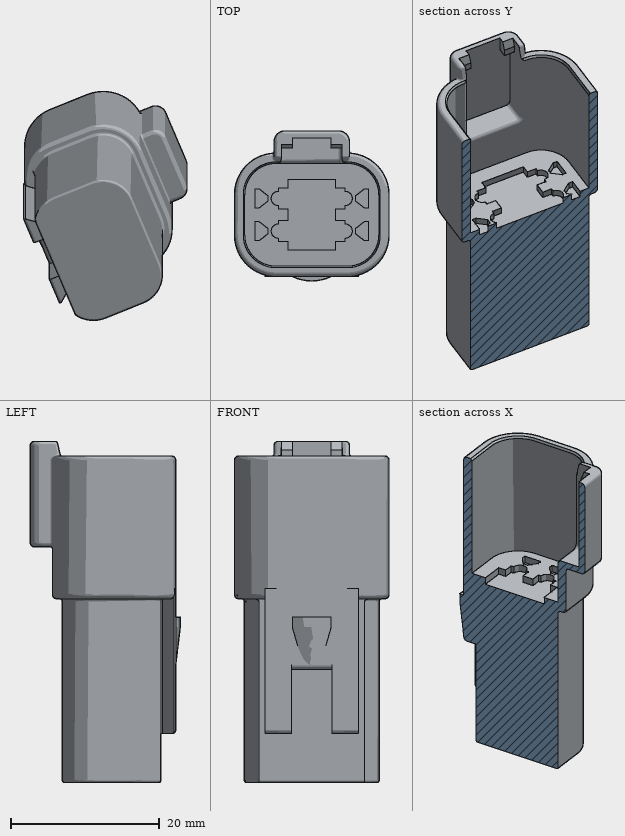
import cadquery as cq
import math

shroud_length_x = 20.83
shroud_width_y = 16.62
shroud_corner_radius = 5.6
shroud_bottom_z = 24.72
shroud_top_z = 43.95
shroud_edge_fillet = 0.6
front_y = -shroud_width_y / 2

body_inset = 1.33
body_front_y = -6.31
body_foot_fillet = 0.3
body_neck_fillet = 0.4

shroud_wall = 1.4
rim_wall = 1.2
rim_lead_in_depth = 0.3
cavity_floor_z = shroud_bottom_z + shroud_wall

recess_depth = 1.0
contact_row_y = 2.2
core_half_x = 3.17
core_half_y = 4.72
arm_reach_x = 4.5
arm_half_y = 1.4
arm_nose_radius = 0.96
wedge_inner_x = 5.86
wedge_shoulder_x = 7.07
wedge_outer_x = 7.66
wedge_inner_half_y = 0.33
wedge_outer_half_y = 1.28

latch_half_x = 5.1
latch_back_y = 11.3
latch_bottom_z = 31.7
latch_top_z = 45.92
latch_corner_radius = 1.5
latch_edge_fillet = 0.6
latch_wall = 1.0
latch_floor_z = 32.7
latch_floor_fillet = 0.6
latch_root_fillet = 0.25
latch_end_top_y = 7.65
latch_end_rim_y = 7.2
latch_end_radius = 0.3
latch_mouth_radius = 0.6
pocket_half_x = latch_half_x - latch_wall
pocket_back_y = latch_back_y - latch_wall

catch_inner_x = 2.57
catch_bottom_z = 43.75
catch_slope_bottom_z = 44.77
catch_front_y = 8.97
catch_top_front_y = 9.45

plate_half_x = 6.3
plate_top_z = 26.1
plate_bottom_z = 6.6
plate_lip = 0.27
plate_root_half_x = 5.1
plate_root_height = 0.22
plate_end_fillet = 0.5
fork_half_x = 2.75
fork_top_z = 15.2
fork_top_fillet = 0.6

ramp_half_x = 2.62
ramp_height = 0.61
ramp_top_z = 22.27
ramp_shoulder_z = 20.93
ramp_tip_z = 15.8


def box_between(x0, x1, y0, y1, z0, z1):
    size = (x1 - x0, y1 - y0, z1 - z0)
    return cq.Workplane("XY").box(*size, centered=False).translate((x0, y0, z0))


def inset_outline(inset, z):
    """Shroud outline moved inwards by `inset`, at height z."""
    outline = cq.Sketch().rect(shroud_length_x - 2 * inset, shroud_width_y - 2 * inset)
    outline = outline.vertices().fillet(shroud_corner_radius - inset)
    return cq.Workplane("XY").workplane(offset=z).placeSketch(outline)


def make_shell():
    """Solid body and shroud with their outer edges rounded and the body front cut flat."""
    shroud = inset_outline(0, shroud_bottom_z).extrude(shroud_top_z - shroud_bottom_z)
    shroud = shroud.faces("<Z or >Z").edges().fillet(shroud_edge_fillet)
    body = inset_outline(body_inset, 0).extrude(shroud_bottom_z)
    shell = shroud.union(body)
    neck = cq.selectors.BoxSelector(
        (-shroud_length_x / 2 + body_inset / 2, front_y + body_inset / 2, shroud_bottom_z - body_neck_fillet),
        (shroud_length_x / 2 - body_inset / 2, -front_y - body_inset / 2, shroud_bottom_z + body_neck_fillet),
        boundingbox=True,
    )
    shell = shell.edges(neck).fillet(body_neck_fillet)
    front_cut = box_between(-shroud_length_x, shroud_length_x, 2 * front_y, body_front_y, 0, shroud_bottom_z)
    shell = shell.cut(front_cut)
    return shell.faces("<Z").edges().fillet(body_foot_fillet)


def make_latch_housing():
    """Solid latch housing, with slanted ends on the part that stands above the shroud."""
    end_slope = (latch_end_top_y - latch_end_rim_y) / (latch_top_z - shroud_top_z)
    end_bottom_y = latch_end_rim_y - end_slope * (shroud_top_z - latch_bottom_z)
    side = [
        (latch_back_y, latch_bottom_z),
        (latch_back_y, latch_top_z),
        (latch_end_top_y, latch_top_z),
        (end_bottom_y, latch_bottom_z),
    ]
    housing = cq.Workplane("YZ").polyline(side).close().extrude(latch_half_x, both=True)
    housing = housing.edges("|Z and >Y").fillet(latch_corner_radius)
    housing = housing.faces("<Z").edges("not <Y").fillet(latch_edge_fillet)
    outer_top_edges = housing.faces(">Z").edges("not <Y")
    end_side_edges = housing.faces("<Y").edges("not |X")
    housing = outer_top_edges.add(end_side_edges).fillet(latch_edge_fillet)
    return housing.faces(">Z").edges("<Y").fillet(latch_end_radius)


def make_cavity():
    cavity_top_z = shroud_top_z - rim_lead_in_depth
    cavity = inset_outline(shroud_wall, cavity_floor_z).extrude(cavity_top_z - cavity_floor_z)
    flare = math.degrees(math.atan((shroud_wall - rim_wall) / rim_lead_in_depth))
    lead_in = inset_outline(shroud_wall, cavity_top_z).extrude(rim_lead_in_depth, taper=-flare)
    above_rim = inset_outline(rim_wall, shroud_top_z).extrude(latch_top_z - shroud_top_z)
    return cavity.union(lead_in).union(above_rim)


def make_latch_pocket():
    pocket = box_between(-pocket_half_x, pocket_half_x, 0, pocket_back_y, latch_floor_z, latch_top_z)
    return pocket.edges("|Y and <Z").fillet(latch_floor_fillet)


def make_catch_block():
    """Block on the +X side, with a lead-in slope at its upper front."""
    side = [
        (pocket_back_y, catch_bottom_z),
        (catch_front_y, catch_bottom_z),
        (catch_front_y, catch_slope_bottom_z),
        (catch_top_front_y, latch_top_z),
        (pocket_back_y, latch_top_z),
    ]
    block = cq.Workplane("YZ").workplane(offset=catch_inner_x).polyline(side).close()
    return block.extrude(pocket_half_x - catch_inner_x)


def make_floor_recesses():
    top = cq.Workplane("XY").workplane(offset=cavity_floor_z - recess_depth)
    recesses = top.rect(2 * core_half_x, 2 * core_half_y).extrude(recess_depth)
    for row_y in (-contact_row_y, contact_row_y):
        arms = top.center(0, row_y).rect(2 * arm_reach_x, 2 * arm_half_y).extrude(recess_depth)
        recesses = recesses.union(arms)
        for side in (-1, 1):
            nose = top.center(side * arm_reach_x, row_y).circle(arm_nose_radius).extrude(recess_depth)
            wedge_half = [
                (side * wedge_inner_x, wedge_inner_half_y),
                (side * wedge_shoulder_x, wedge_outer_half_y),
                (side * wedge_outer_x, wedge_outer_half_y),
            ]
            mirrored_half = [(x, -y) for x, y in reversed(wedge_half)]
            wedge = top.center(0, row_y).polyline(wedge_half + mirrored_half).close().extrude(recess_depth)
            recesses = recesses.union(nose).union(wedge)
    return recesses


def make_plate():
    """Forked front plate whose sides are undercut behind a narrow lip."""
    half = [
        (plate_half_x, front_y),
        (plate_half_x, front_y + plate_lip),
        (plate_root_half_x, body_front_y - plate_root_height),
        (plate_root_half_x, body_front_y),
    ]
    mirrored_half = [(-x, y) for x, y in reversed(half)]
    section = cq.Workplane("XY").workplane(offset=plate_bottom_z).polyline(half + mirrored_half).close()
    plate = section.extrude(plate_top_z - plate_bottom_z)
    plate = plate.cut(
        box_between(-fork_half_x, fork_half_x, front_y, body_front_y, plate_bottom_z, fork_top_z)
    )
    plate = plate.faces("<Z").edges("<Y").fillet(plate_end_fillet)
    fork_root = cq.selectors.NearestToPointSelector((0, front_y, fork_top_z))
    return plate.edges(fork_root).fillet(fork_top_fillet)


def make_ramp():
    radius = (ramp_half_x**2 + ramp_height**2) / (2 * ramp_height)
    centre_y = front_y - ramp_height + radius
    base = cq.Workplane("XY").workplane(offset=ramp_shoulder_z).center(0, centre_y).circle(radius)
    straight = base.extrude(ramp_top_z - ramp_shoulder_z)
    slant = cq.Vector(0, ramp_height, ramp_tip_z - ramp_shoulder_z)
    slanted = cq.Workplane(cq.Solid.extrudeLinear(base.wires().val(), [], slant))
    proud = box_between(
        -ramp_half_x, ramp_half_x, front_y - ramp_height, front_y, ramp_tip_z, ramp_top_z
    )
    return straight.intersect(proud).union(slanted.intersect(proud))


def join_latch_housing(shell):
    """Shell with the latch housing, blended along the inner corners where its sides meet the shroud."""
    joined = shell.union(make_latch_housing())
    root_y = shroud_width_y / 2
    root_edges = cq.selectors.BoxSelector(
        (-latch_half_x - latch_root_fillet, root_y - latch_root_fillet, latch_bottom_z),
        (latch_half_x + latch_root_fillet, root_y + latch_root_fillet, shroud_top_z),
    )
    return joined.edges("|Z").edges(root_edges).fillet(latch_root_fillet)


def round_latch_mouth(shell):
    """Shell with the edges between the latch pocket and the cavity rounded."""
    mouth_y = shroud_width_y / 2 - shroud_wall
    mouth_edges = cq.selectors.BoxSelector(
        (-pocket_half_x - 0.1, mouth_y - 0.1, latch_floor_z - 0.1),
        (pocket_half_x + 0.1, mouth_y + 0.1, shroud_top_z - rim_lead_in_depth + 0.1),
        boundingbox=True,
    )
    return shell.edges(mouth_edges).fillet(latch_mouth_radius)


result = join_latch_housing(make_shell())
result = result.cut(make_cavity()).cut(make_latch_pocket())
result = round_latch_mouth(result)
catch_block = make_catch_block()
result = result.union(catch_block).union(catch_block.mirror("YZ"))
result = result.cut(make_floor_recesses())
result = result.union(make_plate()).union(make_ramp())